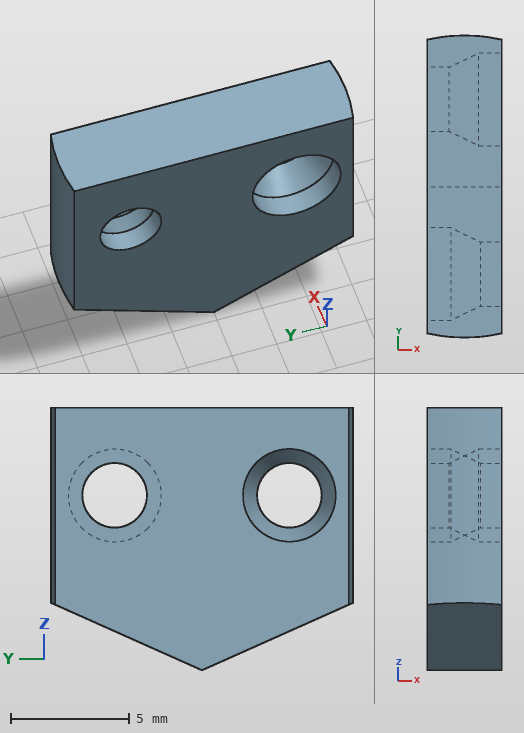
import cadquery as cq

thickness = 3.17
width = 12.78
height = 11.1
flat_width = 12.42
point_rise = 2.77

hole_diameter = 2.72
hole_spacing = 7.39
hole_below_top = 3.7
recess_diameter = 3.92
recess_depth = 1.0
bore_length = 0.92
taper_length = thickness - recess_depth - bore_length

half_thickness = thickness / 2
half_width = width / 2
half_flat = flat_width / 2
hole_height = height - hole_below_top


def crowned_plate():
    """Upright plate whose two narrow ends bulge outwards."""
    return (
        cq.Workplane("XY")
        .moveTo(-half_thickness, -half_flat)
        .threePointArc((0, -half_width), (half_thickness, -half_flat))
        .lineTo(half_thickness, half_flat)
        .threePointArc((0, half_width), (-half_thickness, half_flat))
        .close()
        .extrude(height)
    )


def pointed_envelope():
    """Prism along X with a V-shaped underside, wide enough to span the ends."""
    shoulder = point_rise * width / flat_width
    return (
        cq.Workplane("YZ")
        .polyline([
            (0, 0),
            (half_width, shoulder),
            (half_width, height),
            (-half_width, height),
            (-half_width, shoulder),
        ])
        .close()
        .extrude(half_thickness, both=True)
    )


def stepped_hole(y, side):
    """Cutter for a through hole with its recess on the -X (side=-1) or +X (side=1) face."""
    bore_radius = hole_diameter / 2
    recess_radius = recess_diameter / 2
    taper_end = recess_depth + taper_length
    profile = [
        (0, 0),
        (recess_radius, 0),
        (recess_radius, recess_depth),
        (bore_radius, taper_end),
        (bore_radius, thickness),
        (0, thickness),
    ]
    plane = cq.Plane(
        origin=(side * half_thickness, y, hole_height),
        xDir=(0, 0, -1),
        normal=(0, side, 0),
    )
    return cq.Workplane(plane).polyline(profile).close().revolve(360, (0, 0), (0, 1))


result = crowned_plate().intersect(pointed_envelope())

for side in (-1, 1):
    result = result.cut(stepped_hole(side * hole_spacing / 2, side))